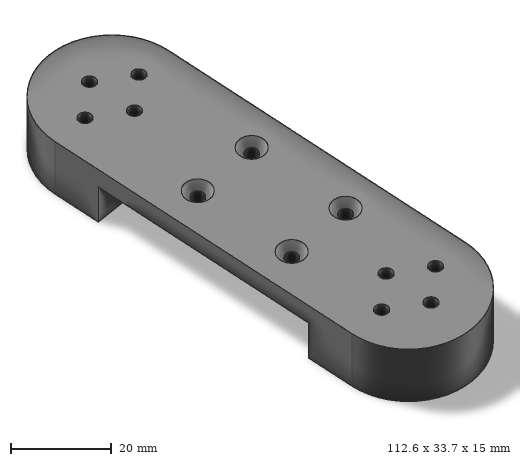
import cadquery as cq

length = 112.6
width = 33.7
height = 15.0

bridge_thickness = 5.0
opening_length = 56.0

end_hole_diameter = 3.2
end_hole_reach_x = 6.0
hole_reach_y = 8.0
end_center_x = (length - width) / 2

screw_hole_diameter = 3.2
countersink_diameter = 6.5
countersink_angle = 90
screw_reach_x = 12.5
screw_pattern_offset_x = 3.0


def make_body():
    """Rounded bar, bottom at Z = 0, with the opening cut across its underside."""
    bar = cq.Workplane("XY").slot2D(length, width).extrude(height)
    opening = cq.Workplane("XY").box(
        opening_length, width, height - bridge_thickness, centered=(True, True, False)
    )
    return bar.cut(opening)


def drill_end_holes(body, center_x):
    """Drill a diamond of four through holes around one end centre."""
    points = [
        (center_x - end_hole_reach_x, 0),
        (center_x + end_hole_reach_x, 0),
        (center_x, -hole_reach_y),
        (center_x, hole_reach_y),
    ]
    drills = cq.Workplane("XY").pushPoints(points).circle(end_hole_diameter / 2).extrude(height)
    return body.cut(drills)


def drill_screw_holes(body):
    """Drill the rectangle of countersunk holes from the top of the bridge."""
    return (
        body.faces(">Z")
        .workplane(origin=(screw_pattern_offset_x, 0, height))
        .rect(2 * screw_reach_x, 2 * hole_reach_y, forConstruction=True)
        .vertices()
        .cskHole(screw_hole_diameter, countersink_diameter, countersink_angle)
    )


result = make_body()
for side in (-1, 1):
    result = drill_end_holes(result, side * end_center_x)
result = drill_screw_holes(result)